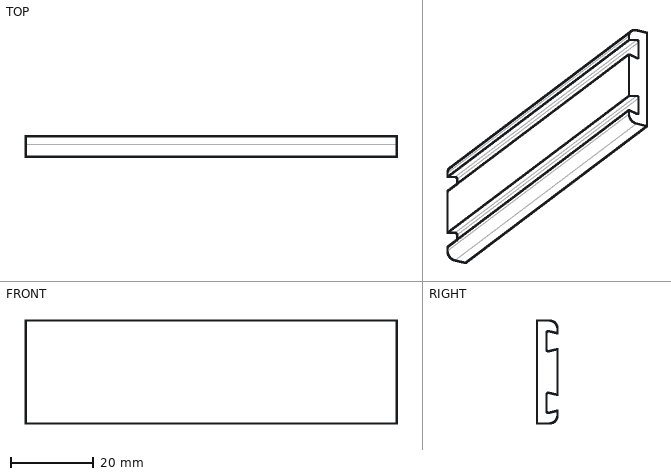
import cadquery as cq

length = 90.0
thickness = 5.0
height = 25.0

back_edge_radius = 2.1

groove_depth = 2.7
groove_mouth_width = 3.8
groove_floor_width = 5.0
groove_corner_radius = 0.45
groove_edge_distance = 5.0

back_y = thickness / 2


def make_strip():
    """Flat strip with both long back edges rounded."""
    strip = cq.Workplane("XY").box(length, thickness, height)
    return strip.edges("|X and >Y").fillet(back_edge_radius)


def make_groove(center_z):
    """Full-length groove cutter, wider at its floor than at its mouth."""
    floor_y = back_y - groove_depth
    half_mouth = groove_mouth_width / 2
    half_floor = groove_floor_width / 2
    cutter = (
        cq.Workplane("YZ")
        .polyline([
            (back_y, center_z - half_mouth),
            (back_y, center_z + half_mouth),
            (floor_y, center_z + half_floor),
            (floor_y, center_z - half_floor),
        ])
        .close()
        .extrude(length / 2, both=True)
    )
    return cutter.edges("|X and <Y").fillet(groove_corner_radius)


result = make_strip()
for side in (-1, 1):
    groove_center_z = side * (height / 2 - groove_edge_distance)
    result = result.cut(make_groove(groove_center_z))